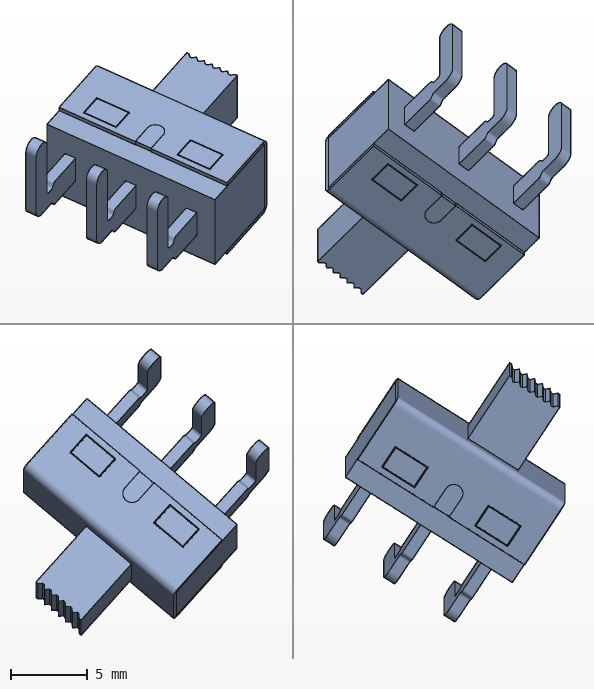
import cadquery as cq
import math


BODY_WIDTH = 12.95
BASE_DEPTH = 6.0
BASE_HEIGHT = 5.99

SHEET = 0.3
COVER_DEPTH = 4.83
COVER_BEND_RADIUS = 0.52
COVER_HEIGHT = BASE_HEIGHT + 2 * SHEET
COVER_FACE_Y = BASE_DEPTH + SHEET
COVER_EDGE_Y = COVER_FACE_Y - COVER_DEPTH

WINDOW_WIDTH = 2.53
WINDOW_DEPTH = 1.63
WINDOW_GAP = 0.05
WINDOW_OFFSET_X = 3.6
WINDOW_CENTER_Y = 2.72

KEY_WIDTH = 1.2
NOTCH_LENGTH = 2.1
KEY_INSET = 0.03

SLIDER_SIZE = 3.9
SLIDER_CENTER_X = -0.9
GROOVE_COUNT = 6
GROOVE_PITCH = 0.6
GROOVE_DEPTH = 0.23
GROOVE_FLOOR = GROOVE_PITCH - 2 * GROOVE_DEPTH

PIN_THICKNESS = 0.8
PIN_PITCH = 4.67
PIN_REACH = 4.8
PIN_TOP_Z = 5.85
ROOT_HEIGHT = 2.1
ROOT_LENGTH = 2.62
NECK_HEIGHT = 1.27
SHOULDER_ANGLE = 60
LEG_WIDTH = 1.32
SMALL_RADIUS = 0.21
OUTER_BEND_RADIUS = 0.71
TIP_RADIUS = 0.65

TOTAL_DEPTH = 16.1
SLIDER_TIP_Y = TOTAL_DEPTH - PIN_REACH

SIDES = (-1, 1)


def box(x, y, z, center_x, min_y, center_z):
    """Block centred in X and Z that starts at min_y."""
    return cq.Workplane("XY").box(x, y, z).translate((center_x, min_y + y / 2, center_z))


def sheet_center_z(side):
    """Mid-height of the cover's upper (1) or lower (-1) flange."""
    return side * (BASE_HEIGHT + SHEET) / 2


def flange_blocks(width, depth):
    """Blocks as thick as the sheet at each of the four window places."""
    min_y = WINDOW_CENTER_Y - depth / 2
    blocks = cq.Workplane("XY")
    for side in SIDES:
        for x in (-WINDOW_OFFSET_X, WINDOW_OFFSET_X):
            blocks = blocks.add(box(width, depth, SHEET, x, min_y, sheet_center_z(side)))
    return blocks


def make_base():
    base = box(BODY_WIDTH, BASE_DEPTH, BASE_HEIGHT, 0, 0, 0)
    latches = flange_blocks(WINDOW_WIDTH - 2 * WINDOW_GAP, WINDOW_DEPTH - 2 * WINDOW_GAP)
    for latch in latches.vals():
        base = base.union(cq.Workplane(latch))
    return base


def notch_block(side, start_y):
    """Round-ended block filling the notch of one cover flange from start_y inwards."""
    radius = KEY_WIDTH / 2
    shoulder_y = COVER_EDGE_Y + NOTCH_LENGTH - radius
    return (
        cq.Workplane("XY", origin=(0, 0, sheet_center_z(side) - SHEET / 2))
        .moveTo(-radius, start_y)
        .lineTo(radius, start_y)
        .lineTo(radius, shoulder_y)
        .threePointArc((0, shoulder_y + radius), (-radius, shoulder_y))
        .close()
        .extrude(SHEET)
    )


def make_key(side):
    """Key in the notch, ending slightly inside the cover edge."""
    return notch_block(side, COVER_EDGE_Y + KEY_INSET)


def make_cover():
    cover = (
        box(BODY_WIDTH, COVER_DEPTH, COVER_HEIGHT, 0, COVER_EDGE_Y, 0)
        .edges("|X and >Y")
        .fillet(COVER_BEND_RADIUS)
        .cut(box(BODY_WIDTH, BASE_DEPTH, BASE_HEIGHT, 0, 0, 0))
    )
    for window in flange_blocks(WINDOW_WIDTH, WINDOW_DEPTH).vals():
        cover = cover.cut(cq.Workplane(window))
    for side in SIDES:
        cover = cover.cut(notch_block(side, COVER_EDGE_Y))
    slider_opening = box(SLIDER_SIZE, SHEET, SLIDER_SIZE, SLIDER_CENTER_X, BASE_DEPTH, 0)
    return cover.cut(slider_opening)


def make_slider():
    """Square bar standing on the base, passing through the cover."""
    slider = box(SLIDER_SIZE, SLIDER_TIP_Y - BASE_DEPTH, SLIDER_SIZE, SLIDER_CENTER_X, BASE_DEPTH, 0)
    floor_y = SLIDER_TIP_Y - GROOVE_DEPTH
    for index in range(GROOVE_COUNT):
        x = SLIDER_CENTER_X + (index - (GROOVE_COUNT - 1) / 2) * GROOVE_PITCH
        groove = (
            cq.Workplane("XY")
            .polyline([
                (x - GROOVE_PITCH / 2, SLIDER_TIP_Y),
                (x - GROOVE_FLOOR / 2, floor_y),
                (x + GROOVE_FLOOR / 2, floor_y),
                (x + GROOVE_PITCH / 2, SLIDER_TIP_Y),
            ])
            .close()
            .extrude(SLIDER_SIZE / 2, both=True)
        )
        slider = slider.cut(groove)
    return slider


def round_corners(pin, corners, radius):
    """Fillet the edges of a pin that run along X through the given (Y, Z) corners."""
    edges = cq.Workplane("XY")
    for y, z in corners:
        nearest = cq.NearestToPointSelector((pin.val().Center().x, y, z))
        edges = edges.add(pin.edges("|X").edges(nearest))
    return cq.Workplane(pin.val().fillet(radius, edges.vals()))


def make_pin(x):
    """Flat pin: wide root, sloped shoulders down to a neck, then a leg bent upwards."""
    root_z = ROOT_HEIGHT / 2
    neck_z = NECK_HEIGHT / 2
    shoulder_run = (root_z - neck_z) / math.tan(math.radians(SHOULDER_ANGLE))
    root_end_y = -ROOT_LENGTH
    neck_start_y = root_end_y - shoulder_run
    leg_inner_y = LEG_WIDTH - PIN_REACH

    shoulder_corners = [
        (root_end_y, root_z),
        (neck_start_y, neck_z),
        (neck_start_y, -neck_z),
        (root_end_y, -root_z),
    ]
    inner_bend = (leg_inner_y, neck_z)
    outer_bend = (-PIN_REACH, -neck_z)
    tip_corners = [(leg_inner_y, PIN_TOP_Z), (-PIN_REACH, PIN_TOP_Z)]

    pin = (
        cq.Workplane("YZ", origin=(x - PIN_THICKNESS / 2, 0, 0))
        .polyline([
            (0, -root_z),
            (0, root_z),
            *shoulder_corners[:2],
            inner_bend,
            *tip_corners,
            outer_bend,
            *shoulder_corners[2:],
        ])
        .close()
        .extrude(PIN_THICKNESS)
    )
    pin = round_corners(pin, [*shoulder_corners, inner_bend], SMALL_RADIUS)
    pin = round_corners(pin, [outer_bend], OUTER_BEND_RADIUS)
    return round_corners(pin, tip_corners, TIP_RADIUS)


base = make_base()
cover = make_cover()
slider = make_slider()
keys = [make_key(side).val() for side in SIDES]
pins = [make_pin(x).val() for x in (-PIN_PITCH, 0, PIN_PITCH)]

result = cq.Compound.makeCompound([base.val(), cover.val(), slider.val(), *keys, *pins])